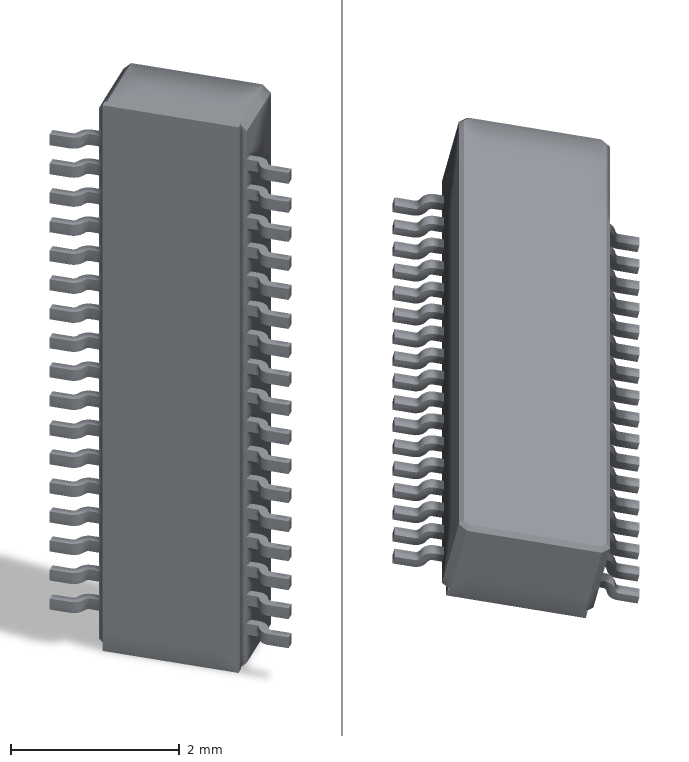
import cadquery as cq
import math


housing_length = 7.52
housing_width = 1.835
housing_back = 1.14
corner_chamfer = 0.1
back_chamfer = 0.05
standoff = 0.05
base_width = 1.69

lead_count = 17
lead_row_length = 6.4
lead_pitch = lead_row_length / (lead_count - 1)
lead_width = 0.15
lead_thickness = 0.105
lead_rise = 0.15
tip_to_tip = 2.97
lead_tip_x = tip_to_tip / 2
foot_length = 0.25
bend_angle = math.radians(65)
bend_radius = 0.105
lead_embed = 0.075

shoulder_bottom = lead_rise
shoulder_top = lead_rise + lead_thickness


def make_housing():
    """Chamfered block standing on a narrower base, flush with the underside of the shoulders."""
    body = (
        cq.Workplane("XY")
        .box(housing_width, housing_back - shoulder_bottom, housing_length, centered=(True, False, True))
        .translate((0, shoulder_bottom, 0))
        .edges("|Y")
        .chamfer(corner_chamfer)
        .faces(">Y")
        .chamfer(back_chamfer)
    )
    base_depth = shoulder_bottom - standoff
    base = (
        cq.Workplane("XY")
        .box(base_width, base_depth, housing_length, centered=(True, False, True))
        .translate((0, standoff, 0))
    )
    return body.union(base)


def make_lead():
    """Lead on the +X side: foot, double bend and shoulder, centred on Z = 0."""
    inner_radius = bend_radius - lead_thickness / 2
    outer_radius = bend_radius + lead_thickness / 2
    web_rise = lead_rise - 2 * bend_radius * (1 - math.cos(bend_angle))
    bend_run = 2 * bend_radius * math.sin(bend_angle) + web_rise / math.tan(bend_angle)

    foot_bend_x = lead_tip_x - foot_length
    foot_bend_y = outer_radius
    shoulder_bend_x = foot_bend_x - bend_run
    shoulder_bend_y = shoulder_top - outer_radius
    shoulder_end_x = housing_width / 2 - lead_embed

    def on_foot_bend(radius, angle):
        return (foot_bend_x - radius * math.sin(angle), foot_bend_y - radius * math.cos(angle))

    def on_shoulder_bend(radius, angle):
        return (shoulder_bend_x + radius * math.sin(angle), shoulder_bend_y + radius * math.cos(angle))

    half_angle = bend_angle / 2
    return (
        cq.Workplane("XY")
        .moveTo(lead_tip_x, 0)
        .lineTo(*on_foot_bend(outer_radius, 0))
        .threePointArc(on_foot_bend(outer_radius, half_angle), on_foot_bend(outer_radius, bend_angle))
        .lineTo(*on_shoulder_bend(inner_radius, bend_angle))
        .threePointArc(on_shoulder_bend(inner_radius, half_angle), on_shoulder_bend(inner_radius, 0))
        .lineTo(shoulder_end_x, shoulder_bottom)
        .lineTo(shoulder_end_x, shoulder_top)
        .lineTo(*on_shoulder_bend(outer_radius, 0))
        .threePointArc(on_shoulder_bend(outer_radius, half_angle), on_shoulder_bend(outer_radius, bend_angle))
        .lineTo(*on_foot_bend(inner_radius, bend_angle))
        .threePointArc(on_foot_bend(inner_radius, half_angle), on_foot_bend(inner_radius, 0))
        .lineTo(lead_tip_x, lead_thickness)
        .close()
        .extrude(lead_width / 2, both=True)
    )


right_lead = make_lead()
left_lead = right_lead.mirror("YZ")

result = make_housing()
for index in range(lead_count):
    lead_z = index * lead_pitch - lead_row_length / 2
    for lead in (left_lead, right_lead):
        result = result.union(lead.translate((0, 0, lead_z)))